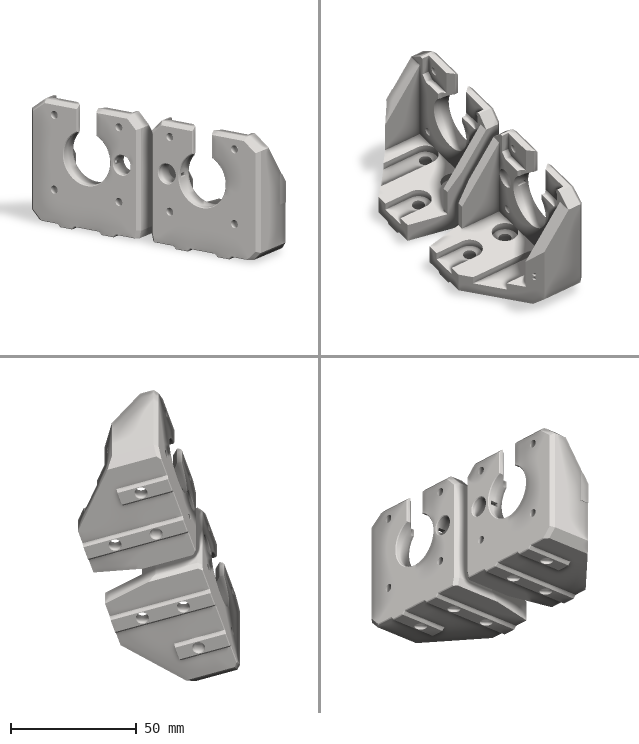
import cadquery as cq
import math

WIDTH = 52.3
DEPTH = 41.8
HEIGHT = 51.9
OVERALL_LENGTH = 109.9
LABEL_THICKNESS = 0.2
LABEL_Y = (14.8, 19.0)
LABEL_Z = (21.5, 34.0)

PAD_HEIGHT = 1.2
PAD_WIDTH = 8.1
OUTER_PAD_LENGTH = 21.2

FLOOR_TOP = 9.7
PLATE_THICKNESS = 7.3
OUTER_WALL = 5.9
INNER_WALL = 4.0
INNER_WALL_END = 25.2
RAMP_TOP_Z = 46.8
RAMP_END_Z = 21.5

OUTER_BOTTOM_CORNER = (3.5, 3.5)
INNER_BOTTOM_CORNER = (0.8, 3.3)
OUTER_TOP_CORNER = (6.6, 5.0)
INNER_TOP_CORNER = (5.0, 5.0)

TAPER_START = 19.0
OUTER_TAPER_INSET = 27.0
INNER_TAPER_INSET = 5.1

RIM_CHAMFER = 1.5
FINE_CHAMFER = 0.3

MOTOR_X = 27.1
MOTOR_Z = 30.7
MOTOR_BORE = 22.2
MOTOR_BOLT_SPACING = 31.0
MOTOR_BOLT_HOLE = 3.3
BORE_RELIEF_DEPTH = 1.0
BORE_RELIEF = 0.2
SLOT_WIDTH = 9.0
FLARE_START = 1.9
FLARE_WIDTH = 16.7
POCKET_WIDTH = 38.5
POCKET_FLOOR_Z = 41.0
POCKET_FRONT_Y = 4.3
POCKET_CORNER = 2.3

ROD_X = 44.1
ROD_HOLE = 8.0
SLIT_HEIGHT = 1.8
SLIT_Y = (1.4, 5.0)

BOLT_HOLE = 5.2
BOLT_HEAD = 10.5
BOLT_SEAT_Z = 6.4
OUTER_BOLT_X = 17.1
INNER_BOLT_X = 37.0
FRONT_BOLT_Y = 12.3
REAR_BOLT_Y = 29.5

DOT_DIAMETER = 1.5
DOT_DEPTH = 1.1
DOT_Y = 21.7
DOT_HEIGHTS = (15.0, 17.3)


def box(x_range, y_range, z_range):
    """Axis-aligned box between the given limits."""
    size = [high - low for low, high in (x_range, y_range, z_range)]
    corner = (x_range[0], y_range[0], z_range[0])
    return cq.Workplane("XY").box(*size, centered=False).translate(corner)


def prism_along_y(points, y_start, y_end):
    """Prism of an (x, z) outline between two y positions."""
    profile = cq.Workplane("XZ", origin=(0, y_start, 0)).polyline(points).close()
    return profile.extrude(y_start - y_end)


def cylinder_along_y(x, z, diameter, y_start, y_end):
    """Cylinder whose axis runs along Y."""
    return cq.Workplane("XZ", origin=(x, y_start, z)).circle(diameter / 2).extrude(y_start - y_end)


def cylinder_along_z(x, y, diameter, z_start, z_end):
    """Cylinder whose axis runs along Z."""
    return cq.Workplane("XY", origin=(x, y, z_start)).circle(diameter / 2).extrude(z_end - z_start)


def cone_along_y(x, z, start_radius, end_radius, y_start, length):
    """Cone frustum whose axis runs along Y."""
    cone = cq.Solid.makeCone(start_radius, end_radius, length, cq.Vector(x, y_start, z), cq.Vector(0, 1, 0))
    return cq.Workplane(cone)


def bracket_blank():
    """Front outline crossed with the tapered plan outline, with the pads below it."""
    front_outline = [
        (OUTER_BOTTOM_CORNER[0], PAD_HEIGHT),
        (WIDTH - INNER_BOTTOM_CORNER[0], PAD_HEIGHT),
        (WIDTH, PAD_HEIGHT + INNER_BOTTOM_CORNER[1]),
        (WIDTH, HEIGHT - INNER_TOP_CORNER[1]),
        (WIDTH - INNER_TOP_CORNER[0], HEIGHT),
        (OUTER_TOP_CORNER[0], HEIGHT),
        (0, HEIGHT - OUTER_TOP_CORNER[1]),
        (0, PAD_HEIGHT + OUTER_BOTTOM_CORNER[1]),
    ]
    plan_outline = [
        (0, 0),
        (WIDTH, 0),
        (WIDTH, TAPER_START),
        (WIDTH - INNER_TAPER_INSET, DEPTH),
        (OUTER_TAPER_INSET, DEPTH),
        (0, TAPER_START),
    ]
    blank = prism_along_y(front_outline, 0, DEPTH)
    front_rim = blank.faces("<Y").edges().filter(lambda edge: edge.Center().z > PAD_HEIGHT + FINE_CHAMFER)
    blank = blank.newObject(front_rim.vals()).chamfer(RIM_CHAMFER)
    blank = blank.union(base_pad(OUTER_BOLT_X, OUTER_PAD_LENGTH))
    blank = blank.union(base_pad(INNER_BOLT_X, DEPTH))
    lower_rim = blank.faces("<Y").edges().filter(lambda edge: edge.Center().z < PAD_HEIGHT + FINE_CHAMFER)
    blank = blank.newObject(lower_rim.vals()).chamfer(FINE_CHAMFER)
    plan = cq.Workplane("XY").polyline(plan_outline).close().extrude(HEIGHT)
    return blank.intersect(plan)


def base_pad(center_x, length):
    """Pad with 45-degree sides, running back from the front under the frame bolts."""
    half_top = PAD_WIDTH / 2
    half_bottom = half_top - PAD_HEIGHT
    pad_outline = [
        (center_x - half_bottom, 0),
        (center_x + half_bottom, 0),
        (center_x + half_top, PAD_HEIGHT),
        (center_x - half_top, PAD_HEIGHT),
    ]
    return prism_along_y(pad_outline, 0, length)


def space_above_ramp(x_start, x_end):
    """Space above the sloping top of the side walls."""
    ramp_outline = [
        (PLATE_THICKNESS, HEIGHT),
        (PLATE_THICKNESS, RAMP_TOP_Z),
        (INNER_WALL_END, RAMP_END_Z),
        (INNER_WALL_END, HEIGHT),
    ]
    return cq.Workplane("YZ", origin=(x_start, 0, 0)).polyline(ramp_outline).close().extrude(x_end - x_start)


def interior_space():
    """Space between the side walls, behind the inner wall and above the wall ramps."""
    motor_bay = box((OUTER_WALL, WIDTH - INNER_WALL), (PLATE_THICKNESS, DEPTH), (FLOOR_TOP, HEIGHT))
    rear_space = box((OUTER_WALL, WIDTH), (INNER_WALL_END, DEPTH), (FLOOR_TOP, HEIGHT))
    return motor_bay.union(rear_space).union(space_above_ramp(0, WIDTH))


def motor_bore():
    """Motor bore with a fine front chamfer and a slight conical relief at the back."""
    radius = MOTOR_BORE / 2
    relief_y = PLATE_THICKNESS - BORE_RELIEF_DEPTH
    bore = cylinder_along_y(MOTOR_X, MOTOR_Z, MOTOR_BORE, 0, PLATE_THICKNESS)
    front = cone_along_y(MOTOR_X, MOTOR_Z, radius + FINE_CHAMFER, radius, 0, FINE_CHAMFER)
    back = cone_along_y(MOTOR_X, MOTOR_Z, radius, radius + BORE_RELIEF, relief_y, BORE_RELIEF_DEPTH)
    return bore.union(front).union(back)


def motor_slot():
    """Slot from the bore to the top edge, chamfered in front and flaring at 45 degrees to the back."""
    half_slot = SLOT_WIDTH / 2
    half_flare = FLARE_WIDTH / 2
    flare_end = FLARE_START + half_flare - half_slot
    right_side = [
        (half_slot + FINE_CHAMFER, 0),
        (half_slot, FINE_CHAMFER),
        (half_slot, FLARE_START),
        (half_flare, flare_end),
        (half_flare, PLATE_THICKNESS),
    ]
    left_side = [(-x, y) for x, y in reversed(right_side)]
    outline = cq.Workplane("XY", origin=(MOTOR_X, 0, MOTOR_Z)).polyline(right_side + left_side).close()
    return outline.extrude(HEIGHT - MOTOR_Z)


def plate_pocket():
    """Open-topped pocket in the back of the plate, with sloped lower corners."""
    half_width = POCKET_WIDTH / 2
    pocket_outline = [
        (MOTOR_X - half_width, HEIGHT),
        (MOTOR_X - half_width, POCKET_FLOOR_Z + POCKET_CORNER),
        (MOTOR_X - half_width + POCKET_CORNER, POCKET_FLOOR_Z),
        (MOTOR_X + half_width - POCKET_CORNER, POCKET_FLOOR_Z),
        (MOTOR_X + half_width, POCKET_FLOOR_Z + POCKET_CORNER),
        (MOTOR_X + half_width, HEIGHT),
    ]
    return prism_along_y(pocket_outline, POCKET_FRONT_Y, PLATE_THICKNESS)


def rod_hole():
    """Smooth rod hole with a fine front chamfer and a slit toward the motor bore."""
    radius = ROD_HOLE / 2
    hole = cylinder_along_y(ROD_X, MOTOR_Z, ROD_HOLE, 0, PLATE_THICKNESS)
    lead_in = cone_along_y(ROD_X, MOTOR_Z, radius + FINE_CHAMFER, radius, 0, FINE_CHAMFER)
    slit_z = (MOTOR_Z - SLIT_HEIGHT / 2, MOTOR_Z + SLIT_HEIGHT / 2)
    slit = box((MOTOR_X, ROD_X), SLIT_Y, slit_z)
    return hole.union(lead_in).union(slit)


def cut_frame_bolts(body):
    """Frame bolt holes; the last head seat of each row runs out through the back edge."""
    bolts = [
        (OUTER_BOLT_X, FRONT_BOLT_Y, True),
        (INNER_BOLT_X, FRONT_BOLT_Y, False),
        (INNER_BOLT_X, REAR_BOLT_Y, True),
    ]
    half_head = BOLT_HEAD / 2
    for x, y, seat_is_open in bolts:
        body = body.cut(cylinder_along_z(x, y, BOLT_HOLE, 0, FLOOR_TOP))
        body = body.cut(cylinder_along_z(x, y, BOLT_HEAD, BOLT_SEAT_Z, FLOOR_TOP))
        if seat_is_open:
            body = body.cut(box((x - half_head, x + half_head), (y, DEPTH), (BOLT_SEAT_Z, FLOOR_TOP)))
    return body


def cut_dots(body):
    """Two small blind holes square to the tapered face of the outer wall."""
    taper_depth = DEPTH - TAPER_START
    taper_length = math.hypot(OUTER_TAPER_INSET, taper_depth)
    inward = cq.Vector(taper_depth / taper_length, -OUTER_TAPER_INSET / taper_length, 0)
    dot_x = (DOT_Y - TAPER_START) * OUTER_TAPER_INSET / taper_depth
    for dot_z in DOT_HEIGHTS:
        entry = cq.Vector(dot_x, DOT_Y, dot_z)
        body = body.cut(cq.Workplane(cq.Solid.makeCylinder(DOT_DIAMETER / 2, DOT_DEPTH, entry, inward)))
    return body


def make_bracket():
    """Left-hand motor bracket."""
    body = bracket_blank().cut(interior_space())
    body = body.cut(plate_pocket()).cut(motor_slot()).cut(motor_bore()).cut(rod_hole())
    for x_side in (-1, 1):
        for z_side in (-1, 1):
            bolt_x = MOTOR_X + x_side * MOTOR_BOLT_SPACING / 2
            bolt_z = MOTOR_Z + z_side * MOTOR_BOLT_SPACING / 2
            body = body.cut(cylinder_along_y(bolt_x, bolt_z, MOTOR_BOLT_HOLE, 0, PLATE_THICKNESS))
    return cut_dots(cut_frame_bolts(body))


left_bracket = make_bracket()
right_side_x = OVERALL_LENGTH - LABEL_THICKNESS
label_patch = box((right_side_x, OVERALL_LENGTH), LABEL_Y, LABEL_Z)
label_patch = label_patch.cut(space_above_ramp(right_side_x, OVERALL_LENGTH))
right_bracket = left_bracket.mirror("YZ").translate((right_side_x, 0, 0)).union(label_patch)

result = cq.Compound.makeCompound([left_bracket.val(), right_bracket.val()])